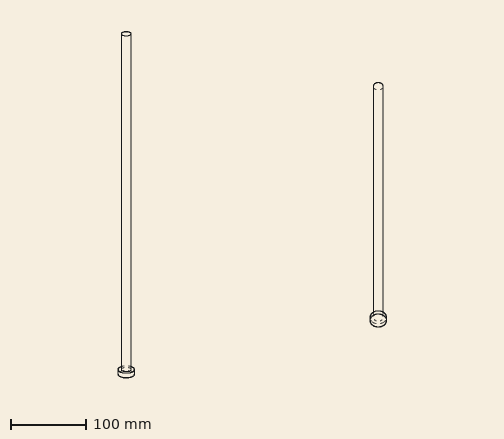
import cadquery as cq

head_diameter = 22.0
head_height = 7.0
shank_diameter = 13.0
shank_length = 500.0

head = cq.Workplane("XY").circle(head_diameter / 2).extrude(head_height)

result = head.faces(">Z").workplane().circle(shank_diameter / 2).extrude(shank_length)